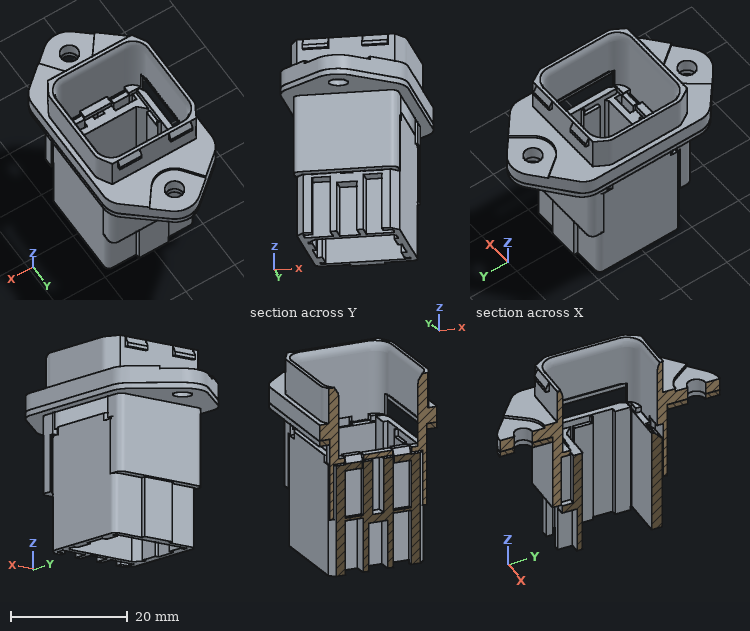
import cadquery as cq
import math


flange_length = 42.0
flange_width = 22.2
gasket_thickness = 1.0
flange_thickness = 3.0
hole_offset = 16.5
hole_diameter = 3.35
seat_radius = 4.0
seat_depth = 0.5
flange_top = gasket_thickness + flange_thickness
flange_end_radius = flange_length / 2 - hole_offset
flange_corner_radius = 4.0
flange_corner_y = 11.15
gasket_end_radius = 4.3
gasket_corner_radius = 4.5
gasket_corner_y = 11.0

collar_height = 6.43
collar_top = flange_top + collar_height
collar_half = 10.12
collar_chamfer_x = 1.55
collar_chamfer_y = 2.65
collar_corner_round = 1.8
bore_half = 9.0
bore_corner_radius = 2.7
mouth_half = 9.45
lead_in_angle = 22.0
lead_in_round = 2.95
seam_margin = 0.05

lug_inner_x = 3.0
lug_width = 4.45
lug_reach = 0.67
lug_slope_height = 1.25
lug_height = 1.9

leg_half_x = 9.15
leg_half_y = 10.9
leg_corner_radius = 1.3
leg_bottom = -13.78
leg_gap_half = 7.5
leg_step_y = 8.2
ledge_top = -2.75
ledge_bottom = -3.75
back_pad_y = 7.95
back_pad_face_x = 8.0
back_pad_inner_x = 6.25
ledge_slot_inner_x = 2.77
ledge_slot_outer_x = 6.25

insert_half_x = 9.0
insert_back_y = 9.15
insert_front_y = -9.1
insert_back_radius = 1.1
insert_chamfer = 1.4
insert_bottom = -24.28
insert_top = -2.7
shoulder_z = -4.0
ear_half_y = 7.3
ear_chamfer_x = 0.65
ear_chamfer_y = 1.1
side_fit = leg_half_x - insert_half_x

opening_half_x = 7.8
opening_back_y = 7.95
opening_front_y = -5.2
opening_key_chamfer = 1.5
opening_small_chamfer = 0.5
back_rail_inner_x = 6.9
back_rail_y = 4.33
front_rail_inner_x = 7.15
front_rail_y = -3.28
front_rail_length = 3.53

back_rib_half_x = 3.02
back_rib_y = 10.0
back_rib_crest_y = 8.3
back_rib_break_y = 8.55
back_rib_break_drop = 0.13
back_rib_lead_height = 1.7
back_rib_fit = 0.13

recess_inner_x = 2.9
recess_outer_x = 6.15
recess_top_outer_x = 7.2
recess_bottom_outer_x = 7.8
recess_wide_y = -7.9
recess_back_y = -6.45
recess_top = -14.35
pocket_floor = leg_bottom
slot_half_x = 1.75
slot_top = -15.5
slot_back_y = -6.3
keyway_half_x = 1.0
keyway_back_y = -7.0
keyway_bottom = -13.9

latch_inner_x = 2.95
latch_outer_x = recess_outer_x
latch_back_y = -7.15
latch_front_y = -8.15
hook_tip_y = -9.0
hook_slope_height = 1.7
hook_height = 2.5


def box(x, y, z):
    """Box between pairs of limits along X, Y and Z."""
    return cq.Workplane("XY").box(
        x[1] - x[0], y[1] - y[0], z[1] - z[0], centered=False
    ).translate((x[0], y[0], z[0]))


def both_sides(shape):
    """A shape together with its mirror image across the YZ plane."""
    return shape.union(shape.mirror("YZ"))


def side_profile(points, x):
    """Prism with a (y, z) outline between two limits along X."""
    return cq.Workplane("YZ").polyline(points).close().extrude(x[1] - x[0]).translate((x[0], 0, 0))


def rounded_prism(half_x, half_y, radius, bottom, top):
    """Upright rectangular prism with rounded vertical edges."""
    prism = box((-half_x, half_x), (-half_y, half_y), (bottom, top))
    return prism.edges("|Z").fillet(radius)


def flange_plate(end_radius, corner_radius, corner_y, bottom, top):
    """Lozenge plate: straight sides, four corner arcs and two end arcs joined by tangents."""
    half_x = flange_width / 2
    half_y = flange_length / 2
    end_y = half_y - end_radius
    corner_x = half_x - corner_radius
    run = math.hypot(corner_x, corner_y - end_y)
    normal = math.atan2(corner_y - end_y, corner_x) + math.acos((end_radius - corner_radius) / run)

    def corner(angle):
        return (corner_x + corner_radius * math.cos(angle), corner_y + corner_radius * math.sin(angle))

    side = (half_x, corner_y)
    middle = corner(normal / 2)
    slope_start = corner(normal)
    slope_end = (end_radius * math.cos(normal), end_y + end_radius * math.sin(normal))

    def flip(point, x_sign, y_sign):
        return (point[0] * x_sign, point[1] * y_sign)

    return (
        cq.Workplane("XY", origin=(0, 0, bottom))
        .moveTo(*side)
        .threePointArc(middle, slope_start)
        .lineTo(*slope_end)
        .threePointArc((0, half_y), flip(slope_end, -1, 1))
        .lineTo(*flip(slope_start, -1, 1))
        .threePointArc(flip(middle, -1, 1), flip(side, -1, 1))
        .lineTo(*flip(side, -1, -1))
        .threePointArc(flip(middle, -1, -1), flip(slope_start, -1, -1))
        .lineTo(*flip(slope_end, -1, -1))
        .threePointArc((0, -half_y), flip(slope_end, 1, -1))
        .lineTo(*flip(slope_start, 1, -1))
        .threePointArc(flip(middle, 1, -1), flip(side, 1, -1))
        .close()
        .extrude(top - bottom)
    )


def mounting_holes():
    """Cutters for the two screw holes."""
    return (
        cq.Workplane("XY")
        .pushPoints([(0, hole_offset), (0, -hole_offset)])
        .circle(hole_diameter / 2)
        .extrude(flange_top)
    )


def screw_seat():
    """Cutter for the shallow seat at the +Y screw hole; its sides run square to the flange edge."""
    corner_x = flange_width / 2 - flange_corner_radius
    edge_angle = math.atan2(hole_offset - flange_corner_y, corner_x)
    tangent = (seat_radius * math.cos(edge_angle), hole_offset - seat_radius * math.sin(edge_angle))
    reach = 2 * flange_end_radius
    outer = (tangent[0] + reach * math.sin(edge_angle), tangent[1] + reach * math.cos(edge_angle))
    return (
        cq.Workplane("XY", origin=(0, 0, flange_top - seat_depth))
        .moveTo(*outer)
        .lineTo(*tangent)
        .threePointArc((0, hole_offset - seat_radius), (-tangent[0], tangent[1]))
        .lineTo(-outer[0], outer[1])
        .close()
        .extrude(seat_depth)
    )


def collar():
    """Square collar whose corners are long chamfers that blend into the X faces."""
    chamfer_x = collar_half - collar_chamfer_x
    chamfer_y = collar_half - collar_chamfer_y
    outline = [
        (chamfer_x, collar_half),
        (collar_half, chamfer_y),
        (collar_half, -chamfer_y),
        (chamfer_x, -collar_half),
        (-chamfer_x, -collar_half),
        (-collar_half, -chamfer_y),
        (-collar_half, chamfer_y),
        (-chamfer_x, collar_half),
    ]
    block = cq.Workplane("XY", origin=(0, 0, flange_top)).polyline(outline).close().extrude(collar_height)
    return block.edges("|Z and (<X or >X)").fillet(collar_corner_round)


def snap_lugs():
    """Two tapered lugs on each Y face of the collar."""
    tip = collar_half + lug_reach
    profile = [
        (mouth_half, collar_top),
        (collar_half, collar_top),
        (tip, collar_top - lug_slope_height),
        (tip, collar_top - lug_height),
        (mouth_half, collar_top - lug_height),
    ]
    pair = both_sides(side_profile(profile, (lug_inner_x, lug_inner_x + lug_width)))
    return pair.union(pair.mirror("XZ"))


def bore():
    """Cutter for the collar bore, with a rounded lead-in, down to the ledges of the legs."""
    mouth_growth = mouth_half - bore_half
    lead_in_depth = mouth_growth / math.tan(math.radians(lead_in_angle))
    mouth_radius = bore_corner_radius + mouth_growth
    mouth = cq.Sketch().rect(2 * mouth_half, 2 * mouth_half).vertices().fillet(mouth_radius)
    lead_in = (
        cq.Workplane("XY", origin=(0, 0, collar_top))
        .placeSketch(mouth)
        .extrude(-lead_in_depth, taper=lead_in_angle)
    )
    lead_in_z = collar_top - lead_in_depth
    shaft = rounded_prism(bore_half, bore_half, bore_corner_radius, ledge_top, lead_in_z)
    throat = cq.selectors.BoxSelector(
        (-mouth_half, -mouth_half, lead_in_z - seam_margin),
        (mouth_half, mouth_half, lead_in_z + seam_margin),
    )
    return shaft.union(lead_in).edges(throat).fillet(lead_in_round)


def insert_outline(fit, bottom, top):
    """Prism of the insert's main outline, grown by fit: chamfered front and rounded back corners."""
    half_x = insert_half_x + fit
    front_y = insert_front_y - fit
    block = box((-half_x, half_x), (front_y, insert_back_y + fit), (bottom, top))
    block = block.edges("|Z and >Y").fillet(insert_back_radius + fit)
    corner = (
        cq.Workplane("XY", origin=(0, 0, bottom))
        .polyline([
            (half_x, front_y),
            (half_x, front_y + insert_chamfer),
            (half_x - insert_chamfer, front_y),
        ])
        .close()
        .extrude(top - bottom)
    )
    return block.cut(both_sides(corner))


def legs():
    """Front and back legs that clasp the insert below the flange."""
    shape = rounded_prism(leg_half_x, leg_half_y, leg_corner_radius, leg_bottom, gasket_thickness)
    wide_x = (-leg_half_x, leg_half_x)

    shape = shape.cut(box(wide_x, (-leg_gap_half, leg_gap_half), (leg_bottom, gasket_thickness)))
    shape = shape.cut(box(wide_x, (-leg_step_y, leg_step_y), (leg_bottom, ledge_bottom)))
    shape = shape.cut(insert_outline(side_fit, leg_bottom, ledge_bottom))

    pad_gap = box(
        (-back_pad_inner_x, back_pad_inner_x), (0, bore_half), (ledge_bottom, ledge_top)
    )
    shape = shape.cut(pad_gap)
    pad_flare_x = back_pad_face_x + back_pad_y - leg_gap_half
    pad_face = (
        cq.Workplane("XY", origin=(0, 0, ledge_bottom))
        .polyline([
            (-back_pad_face_x, back_pad_y),
            (back_pad_face_x, back_pad_y),
            (pad_flare_x, leg_gap_half),
            (-pad_flare_x, leg_gap_half),
        ])
        .close()
        .extrude(ledge_top - ledge_bottom)
    )
    shape = shape.cut(pad_face)

    slot = box((ledge_slot_inner_x, ledge_slot_outer_x), (-bore_half, 0), (ledge_bottom, ledge_top))
    shape = shape.cut(both_sides(slot))

    channel_half_x = back_rib_half_x + back_rib_fit
    channel = box((-channel_half_x, channel_half_x), (0, back_rib_y + back_rib_fit), (leg_bottom, ledge_top))
    return shape.cut(channel)


def make_housing():
    """Flange, collar and legs moulded as one body."""
    flange = flange_plate(
        flange_end_radius, flange_corner_radius, flange_corner_y, gasket_thickness, flange_top
    )
    seat = screw_seat()
    flange = flange.cut(seat).cut(seat.mirror("XZ")).cut(mounting_holes())
    body = flange.union(collar()).union(snap_lugs()).union(legs())
    return body.cut(bore()).solids()


def make_gasket():
    """Flat gasket under the flange, closely fitted around the legs."""
    plate = flange_plate(gasket_end_radius, gasket_corner_radius, gasket_corner_y, 0, gasket_thickness)
    opening = rounded_prism(leg_half_x, leg_half_y, leg_corner_radius, 0, gasket_thickness)
    return plate.cut(opening).cut(mounting_holes()).solids()


def insert_opening():
    """Cutter for the through opening, with unequal front chamfers and four guide rails left standing."""
    cutter = (
        cq.Workplane("XY", origin=(0, 0, insert_bottom))
        .polyline([
            (-opening_half_x, opening_back_y),
            (opening_half_x, opening_back_y),
            (opening_half_x, opening_front_y + opening_small_chamfer),
            (opening_half_x - opening_small_chamfer, opening_front_y),
            (-opening_half_x + opening_key_chamfer, opening_front_y),
            (-opening_half_x, opening_front_y + opening_key_chamfer),
        ])
        .close()
        .extrude(insert_top - insert_bottom)
    )
    full_height = (insert_bottom, insert_top)
    back_rail = box((back_rail_inner_x, opening_half_x), (back_rail_y, ear_half_y), full_height)
    front_rail = box(
        (front_rail_inner_x, opening_half_x), (front_rail_y, front_rail_y + front_rail_length), full_height
    )
    return cutter.cut(both_sides(back_rail)).cut(both_sides(front_rail))


def insert_ears():
    """Side walls that rise above the shoulder between the legs."""
    block = box((-insert_half_x, insert_half_x), (-ear_half_y, ear_half_y), (shoulder_z, insert_top))
    corner_x = insert_half_x - ear_chamfer_x
    corner_y = ear_half_y - ear_chamfer_y
    corner = (
        cq.Workplane("XY", origin=(0, 0, shoulder_z))
        .polyline([(insert_half_x, corner_y), (insert_half_x, ear_half_y), (corner_x, ear_half_y)])
        .close()
        .extrude(insert_top - shoulder_z)
    )
    corners = both_sides(corner)
    block = block.cut(corners).cut(corners.mirror("XZ"))
    front_gap = box((-opening_half_x, opening_half_x), (-ear_half_y, 0), (shoulder_z, insert_top))
    return block.cut(front_gap)


def back_rib():
    """Rib on the back wall of the insert, before its top is sloped."""
    return box((-back_rib_half_x, back_rib_half_x), (opening_back_y, back_rib_y), (insert_bottom, shoulder_z))


def back_rib_lead():
    """Cutter for the two-stage slope on top of the back rib."""
    profile = [
        (back_rib_crest_y, shoulder_z),
        (back_rib_break_y, shoulder_z - back_rib_break_drop),
        (back_rib_y, shoulder_z - back_rib_lead_height),
        (back_rib_y, shoulder_z),
    ]
    return side_profile(profile, (-back_rib_half_x, back_rib_half_x))


def front_recess(wide_outer_x, bottom, top):
    """Cutter for one front recess, which widens behind the corner post."""
    mouth = box((recess_inner_x, recess_outer_x), (insert_front_y, recess_back_y), (bottom, top))
    wide = box((recess_inner_x, wide_outer_x), (recess_wide_y, recess_back_y), (bottom, top))
    return mouth.union(wide)


def latch():
    """Upright latch arm with a forward hook at its top."""
    profile = [
        (latch_back_y, pocket_floor),
        (latch_back_y, insert_top),
        (latch_front_y, insert_top),
        (hook_tip_y, insert_top - hook_slope_height),
        (hook_tip_y, insert_top - hook_height),
        (latch_front_y, insert_top - hook_height),
        (latch_front_y, pocket_floor),
    ]
    return side_profile(profile, (latch_inner_x, latch_outer_x))


def make_insert():
    """Tubular insert held between the legs."""
    body = insert_outline(0, insert_bottom, shoulder_z).union(insert_ears()).union(back_rib())
    body = body.cut(back_rib_lead()).cut(insert_opening())

    body = body.cut(both_sides(front_recess(recess_bottom_outer_x, insert_bottom, recess_top)))
    body = body.cut(both_sides(front_recess(recess_top_outer_x, pocket_floor, shoulder_z)))
    body = body.union(both_sides(latch()))

    slot = box((-slot_half_x, slot_half_x), (insert_front_y, slot_back_y), (insert_bottom, slot_top))
    body = body.cut(slot)
    keyway = box(
        (-keyway_half_x, keyway_half_x), (insert_front_y, keyway_back_y), (keyway_bottom, shoulder_z)
    )
    return body.cut(keyway).solids()


housing = make_housing()
gasket = make_gasket()
insert = make_insert()

result = cq.Compound.makeCompound([housing.val(), gasket.val(), insert.val()])